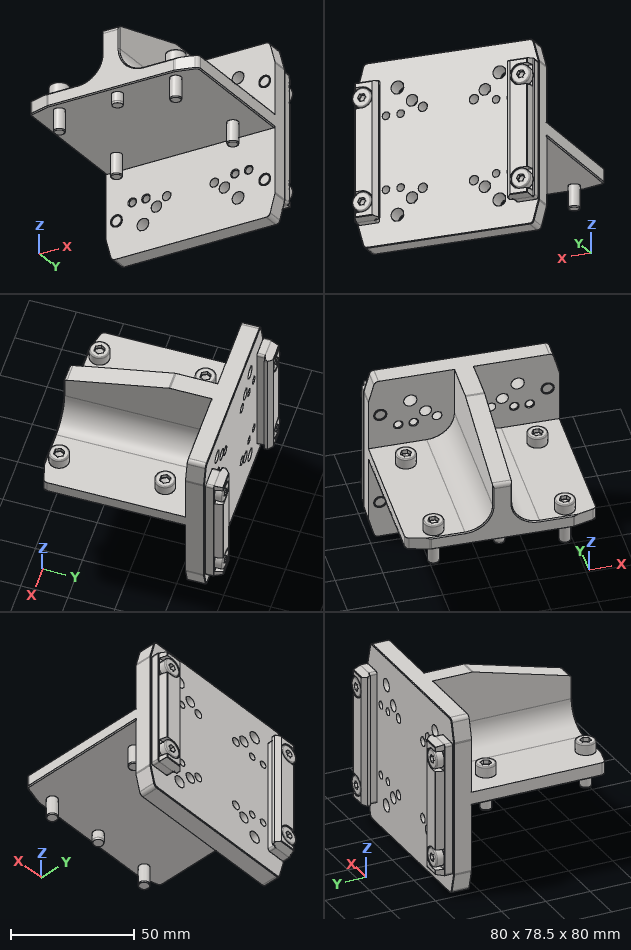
import cadquery as cq
import math

PLATE_SIZE = 80.0
PLATE_THICKNESS = 8.0
PLATE_CHAMFER = 0.3
CORNER_START = 30.0
SLOPE = math.tan(math.radians(15))
CORNER_RADIUS = 2.0

SHELF_REACH = 63.0
SHELF_THICKNESS = 6.0
SHELF_CHAMFER = 0.5
RIB_HALF_THICKNESS = 4.0
RIB_FILLET = 11.6
RIB_FLAT = 18.0

PLAIN_HOLES = [(22.5, 27.5, 5.5), (16.1, 21.0, 5.0), (11.3, 17.5, 4.0)]
TAPPED_HOLES = [(21.0, 16.0), (27.5, 16.0)]
TAPPED_DIAMETER = 3.3
TAPPED_MOUTH = 4.0

SHANK_DIAMETER = 5.0
TIP_DIAMETER = 4.5
TIP_LENGTH = 0.6
HEAD_DIAMETER = 8.5
TALL_HEAD_HEIGHT = 5.0
TALL_HEAD_SOCKET = 4.0
LOW_HEAD_HEIGHT = 3.5
LOW_HEAD_SOCKET = 3.0
HEAD_ROUND = 0.5
SOCKET_DEPTH = 2.0
SOCKET_CONE_ANGLE = math.radians(30)
SHELF_SCREW_LENGTH = 16.0
SHELF_SCREW_X = 27.5
REAR_SCREW_Y = -12.5
SHELF_SCREW_SPACING = 45.0
FRONT_SCREW_Y = REAR_SCREW_Y - SHELF_SCREW_SPACING

PIN_DIAMETER = 5.0
PIN_LENGTH = 5.0
PIN_TIP_LENGTH = 1.0
PIN_TIP_INSET = 0.2

RAIL_SCREW_X = 35.0
RAIL_SCREW_Z = 22.5
RAIL_SCREW_LENGTH = 12.0
SCREW_MOUTH = 5.5
RAIL_LENGTH = 60.0
RAIL_GAP = 0.5
RAIL_BACK = 7.5
RAIL_INNER_X = 30.1
RAIL_OUTER_X = 39.7
RAIL_CORNER_RADIUS = 1.0
JAW_HEIGHT = 3.7
LIP_HEIGHT = 3.4
LIP_CORNER_RADIUS = 1.0
JAW_INNER_X = 28.4
JAW_OUTER_X = 39.0
LIP_CHAMFER = 2.0
JAW_EDGE_CHAMFER = 0.2
HEAD_SLOT_WIDTH = 9.1

HALF = PLATE_SIZE / 2
CORNER_CUT = (HALF - CORNER_START) * SLOPE
RAIL_BACK_Y = PLATE_THICKNESS + RAIL_BACK


def cylinder(diameter, length):
    return cq.Workplane("XY").circle(diameter / 2).extrude(length)


def along_y(shape, x, y, z):
    """Turn a +Z shape to point along +Y and move its origin to the given place."""
    return shape.rotate((0, 0, 0), (1, 0, 0), -90).translate((x, y, z))


def countersunk_hole(diameter, mouth_diameter):
    """Cutter for a hole through the plate with a 45 degree countersink at Z = 0."""
    depth = (mouth_diameter - diameter) / 2
    mouth = cq.Workplane("XY").circle(mouth_diameter / 2).extrude(depth, taper=45)
    return cylinder(diameter, PLATE_THICKNESS).union(mouth)


def make_plate():
    top_x = HALF - CORNER_CUT
    outline = [
        (HALF, CORNER_START), (top_x, HALF), (-top_x, HALF), (-HALF, CORNER_START),
        (-HALF, -CORNER_START), (-top_x, -HALF), (top_x, -HALF), (HALF, -CORNER_START),
    ]
    plate = cq.Workplane("XZ").polyline(outline).close().extrude(-PLATE_THICKNESS)
    plate = plate.edges("|Y").fillet(CORNER_RADIUS)
    plate = plate.faces(">Y").edges().chamfer(PLATE_CHAMFER)

    holes = [(cylinder(diameter, PLATE_THICKNESS), x, z) for x, z, diameter in PLAIN_HOLES]
    tapped_hole = countersunk_hole(TAPPED_DIAMETER, TAPPED_MOUTH)
    holes += [(tapped_hole, x, z) for x, z in TAPPED_HOLES]
    holes.append((countersunk_hole(SHANK_DIAMETER, SCREW_MOUTH), RAIL_SCREW_X, RAIL_SCREW_Z))
    for hole, x, z in holes:
        for side in (-1, 1):
            for level in (-1, 1):
                plate = plate.cut(along_y(hole, side * x, 0, level * z))
    return plate


def shelf_and_rib_section():
    """Inverted T across X and Z, with concave fillets between shelf and rib."""
    foot_x = RIB_HALF_THICKNESS + RIB_FILLET
    fillet_top = SHELF_THICKNESS + RIB_FILLET
    return (
        cq.Workplane("XZ")
        .moveTo(-HALF, 0)
        .lineTo(HALF, 0)
        .lineTo(HALF, SHELF_THICKNESS)
        .lineTo(foot_x, SHELF_THICKNESS)
        .radiusArc((RIB_HALF_THICKNESS, fillet_top), RIB_FILLET)
        .lineTo(RIB_HALF_THICKNESS, HALF)
        .lineTo(-RIB_HALF_THICKNESS, HALF)
        .lineTo(-RIB_HALF_THICKNESS, fillet_top)
        .radiusArc((-foot_x, SHELF_THICKNESS), RIB_FILLET)
        .lineTo(-HALF, SHELF_THICKNESS)
        .close()
    )


def shelf_plan():
    """Plan of the shelf, with sloped front corners and a bevelled underside."""
    corner_y = -SHELF_REACH + CORNER_CUT
    back_y = PLATE_THICKNESS / 2
    outline = [
        (-HALF, back_y), (-HALF, corner_y), (-CORNER_START, -SHELF_REACH),
        (CORNER_START, -SHELF_REACH), (HALF, corner_y), (HALF, back_y),
    ]
    plan = cq.Workplane("XY").polyline(outline).close().extrude(HALF)
    plan = plan.edges("|Z and <Y").fillet(CORNER_RADIUS)
    plan = plan.edges("|Z").edges("<X or >X").edges("<Y").fillet(CORNER_RADIUS)
    return plan.faces("<Z").edges().chamfer(SHELF_CHAMFER)


def rib_profile():
    """Side profile that slopes the rib top and rounds its front corner."""
    front_top = HALF - (SHELF_REACH - RIB_FLAT) * SLOPE
    outline = [(0, 0), (-SHELF_REACH, 0), (-SHELF_REACH, front_top), (-RIB_FLAT, HALF), (0, HALF)]
    profile = cq.Workplane("YZ").polyline(outline).close().extrude(HALF, both=True)
    for y, z in [(-SHELF_REACH, front_top), (-RIB_FLAT, HALF)]:
        bend = cq.selectors.NearestToPointSelector((0, y, z))
        profile = profile.edges(bend).fillet(CORNER_RADIUS)
    return profile


def make_shelf_and_rib():
    body = shelf_and_rib_section().extrude(SHELF_REACH)
    body = body.faces("<Y").edges().chamfer(SHELF_CHAMFER)
    return body.intersect(shelf_plan()).intersect(rib_profile())


def tipped_rod(diameter, length, tip_length, tip_inset):
    """Rod from Z = 0 along -Z with a chamfered tip."""
    return cylinder(diameter, length).faces(">Z").chamfer(tip_length, tip_inset).mirror("XY")


def make_screw(length, head_height, socket_flats):
    """Socket head screw with its head seated on Z = 0 and its shank along -Z."""
    head = cylinder(HEAD_DIAMETER, head_height).faces(">Z").edges().fillet(HEAD_ROUND)
    corner_diameter = socket_flats / math.cos(math.pi / 6)
    socket_floor = head_height - SOCKET_DEPTH
    socket = cq.Workplane("XY").polygon(6, corner_diameter).extrude(SOCKET_DEPTH)
    socket = socket.translate((0, 0, socket_floor))
    cone_depth = corner_diameter / 2 * math.tan(SOCKET_CONE_ANGLE)
    cone = cq.Solid.makeCone(0, corner_diameter / 2, cone_depth)
    cone = cone.translate(cq.Vector(0, 0, socket_floor - cone_depth))
    shank = tipped_rod(SHANK_DIAMETER, length, TIP_LENGTH, (SHANK_DIAMETER - TIP_DIAMETER) / 2)
    return head.cut(socket).cut(cq.Workplane(cone)).union(shank)


def make_pin():
    pin = tipped_rod(PIN_DIAMETER, PIN_LENGTH, PIN_TIP_LENGTH, PIN_TIP_INSET)
    return pin.translate((0, FRONT_SCREW_Y, 0))


def make_rail_jaw(front_y):
    """Hooked jaw whose outer side and ends lean inward towards its back face."""
    taper = JAW_HEIGHT * SLOPE
    end_z = RAIL_LENGTH / 2
    lip_front = RAIL_BACK_Y - LIP_HEIGHT
    section = [
        (JAW_INNER_X, lip_front), (RAIL_INNER_X, lip_front), (RAIL_INNER_X, front_y),
        (JAW_OUTER_X, front_y), (JAW_OUTER_X - taper, RAIL_BACK_Y),
        (JAW_INNER_X + LIP_CHAMFER, RAIL_BACK_Y), (JAW_INNER_X, RAIL_BACK_Y - LIP_CHAMFER),
    ]
    side = [
        (front_y, -end_z), (RAIL_BACK_Y, taper - end_z), (RAIL_BACK_Y, end_z - taper), (front_y, end_z),
    ]
    jaw = cq.Workplane("XY").polyline(section).close().extrude(end_z, both=True)
    jaw = jaw.edges("|Y and <X").fillet(LIP_CORNER_RADIUS)
    jaw = jaw.intersect(cq.Workplane("YZ").polyline(side).close().extrude(HALF))
    return jaw.faces(">Y").edges("|X or >X").chamfer(JAW_EDGE_CHAMFER)


def make_rail():
    """Rail on the +X side: a block with a hooked jaw, and two screws in slots open to the outside."""
    jaw_front = RAIL_BACK_Y - JAW_HEIGHT
    seat_y = RAIL_BACK_Y - LOW_HEAD_HEIGHT
    block_front = PLATE_THICKNESS + RAIL_GAP
    width = RAIL_OUTER_X - RAIL_INNER_X
    rail = (
        cq.Workplane("XY")
        .box(width, jaw_front - block_front, RAIL_LENGTH, centered=(False, False, True))
        .edges("|Y")
        .fillet(RAIL_CORNER_RADIUS)
        .translate((RAIL_INNER_X, block_front, 0))
        .union(make_rail_jaw(jaw_front))
    )
    slot_size = (HEAD_SLOT_WIDTH, HEAD_SLOT_WIDTH, LOW_HEAD_HEIGHT)
    slot_mouth = cq.Workplane("XY").box(*slot_size, centered=(False, True, False))
    head_slot = cylinder(HEAD_SLOT_WIDTH, LOW_HEAD_HEIGHT).union(slot_mouth)
    screw = make_screw(RAIL_SCREW_LENGTH, LOW_HEAD_HEIGHT, LOW_HEAD_SOCKET)
    for z in (-RAIL_SCREW_Z, RAIL_SCREW_Z):
        rail = rail.cut(along_y(head_slot, RAIL_SCREW_X, seat_y, z))
        rail = rail.union(along_y(screw, RAIL_SCREW_X, seat_y, z))
    return rail


result = make_plate().union(make_shelf_and_rib()).union(make_pin())
shelf_screw = make_screw(SHELF_SCREW_LENGTH, TALL_HEAD_HEIGHT, TALL_HEAD_SOCKET)
for x in (-SHELF_SCREW_X, SHELF_SCREW_X):
    for y in (REAR_SCREW_Y, FRONT_SCREW_Y):
        result = result.union(shelf_screw.translate((x, y, SHELF_THICKNESS)))
right_rail = make_rail()
result = result.union(right_rail).union(right_rail.mirror("YZ"))